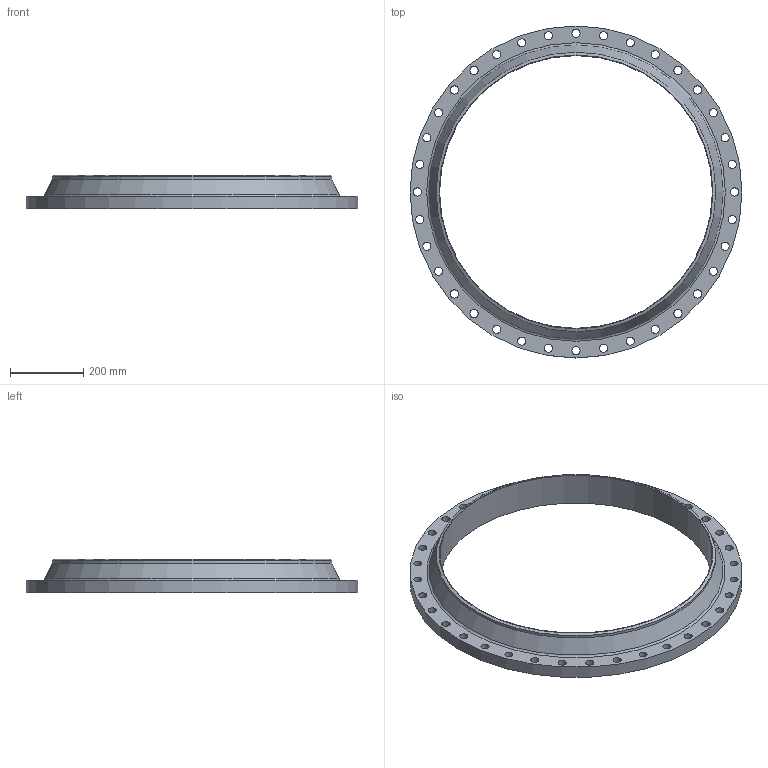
import cadquery as cq
import math

flange_diameter = 908.0
flange_thickness = 34.2
bore_diameter = 746.0

bolt_circle_diameter = 868.0
bolt_hole_diameter = 22.2
bolt_hole_count = 36

total_height = 92.2
neck_diameter = 764.0
neck_base_height = 81.5
hub_base_diameter = 808.0
hub_fillet_radius = 7.0
weld_land = 1.6
weld_bevel_angle = 22.5

flange_radius = flange_diameter / 2
bore_radius = bore_diameter / 2
neck_radius = neck_diameter / 2
hub_base_radius = hub_base_diameter / 2
land_radius = bore_radius + weld_land
bevel_drop = (neck_radius - land_radius) * math.tan(math.radians(weld_bevel_angle))


def flange_body():
    """Revolve the half section of ring, hub, neck and weld bevel about Z."""
    section = (
        cq.Workplane("XZ")
        .moveTo(bore_radius, 0)
        .lineTo(flange_radius, 0)
        .lineTo(flange_radius, flange_thickness)
        .lineTo(hub_base_radius, flange_thickness)
        .lineTo(neck_radius, neck_base_height)
        .lineTo(neck_radius, total_height - bevel_drop)
        .lineTo(land_radius, total_height)
        .lineTo(bore_radius, total_height)
        .close()
    )
    return section.revolve(360, (0, 0, 0), (0, 1, 0))


def round_hub_root(body):
    """Fillet the inside corner where the hub meets the flange ring."""
    root_edge = cq.selectors.RadiusNthSelector(-2)
    return body.edges("%CIRCLE").edges(root_edge).fillet(hub_fillet_radius)


def bolt_holes():
    """Cylinders through the flange ring, evenly spaced on the bolt circle."""
    return (
        cq.Workplane("XY")
        .polarArray(bolt_circle_diameter / 2, 0, 360, bolt_hole_count)
        .circle(bolt_hole_diameter / 2)
        .extrude(flange_thickness)
    )


result = round_hub_root(flange_body()).cut(bolt_holes())